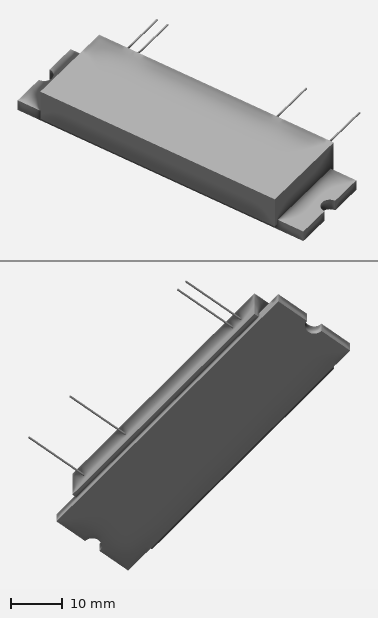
import cadquery as cq

flange_length = 67.0
flange_width = 18.0
flange_thickness = 2.5
notch_diameter = 3.6

total_height = 8.5
cover_overlap = 1.0
cover_length = 55.0
cover_width = 20.0
cover_bottom = flange_thickness - cover_overlap
cover_height = total_height - cover_bottom

total_width = 34.0
lead_diameter = 0.4
lead_height = 4.15
lead_offsets = [4.0, 6.5, 39.0, 51.45]
lead_tip = total_width - cover_width / 2


def make_flange():
    """Flat plate with a half-round screw notch in the middle of each end."""
    flange = cq.Workplane("XY").box(
        flange_length, flange_width, flange_thickness, centered=(True, True, False)
    )
    notches = (
        cq.Workplane("XY")
        .pushPoints([(-flange_length / 2, 0), (flange_length / 2, 0)])
        .circle(notch_diameter / 2)
        .extrude(flange_thickness)
    )
    return flange.cut(notches)


def make_cover():
    """Plain block centred over the flange."""
    return cq.Workplane("XY", origin=(0, 0, cover_bottom)).box(
        cover_length, cover_width, cover_height, centered=(True, True, False)
    )


def make_lead(x):
    """Straight wire along +Y, starting inside the cover so that the two fuse."""
    return (
        cq.Workplane("XZ", origin=(x, 0, lead_height))
        .circle(lead_diameter / 2)
        .extrude(-lead_tip)
    )


result = make_flange().union(make_cover())
for offset in lead_offsets:
    result = result.union(make_lead(offset - cover_length / 2))